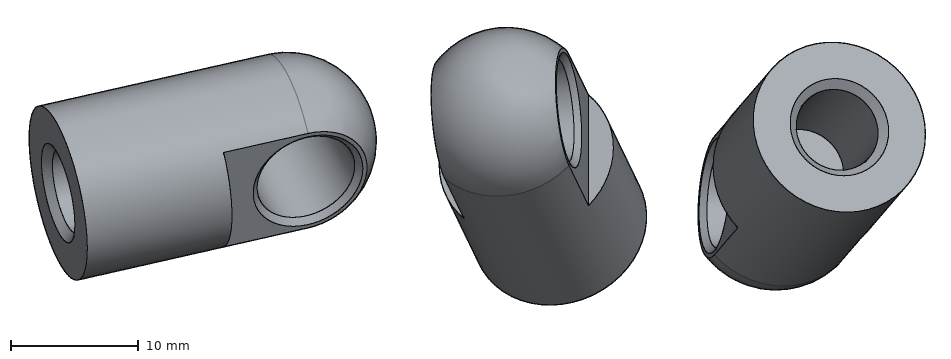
import cadquery as cq

body_diameter = 14.0
pivot_y = 19.0
tongue_thickness = 10.0
tongue_start_y = 12.0
bore_diameter = 6.65
bore_mouth_diameter = 8.0
bore_depth = 11.0
cross_hole_diameter = 8.1
cross_hole_chamfer = 0.5

body_radius = body_diameter / 2
total_length = pivot_y + body_radius
bore_radius = bore_diameter / 2
bore_mouth_radius = bore_mouth_diameter / 2
bore_chamfer = bore_mouth_radius - bore_radius
half_thickness = tongue_thickness / 2
cross_hole_radius = cross_hole_diameter / 2
cross_hole_mouth_radius = cross_hole_radius + cross_hole_chamfer


def revolve_about_y(profile):
    return profile.close().revolve(360, (0, 0, 0), (0, 1, 0))


def domed_body():
    """Cylinder along Y closed by a hemispherical end."""
    cylinder = cq.Workplane("XZ").circle(body_radius).extrude(-pivot_y)
    dome = cq.Workplane("XY").moveTo(0, pivot_y).lineTo(body_radius, pivot_y)
    dome = dome.radiusArc((0, total_length), -body_radius)
    return cylinder.union(revolve_about_y(dome), clean=False)


def side_cut(side):
    """Block removed beside the tongue; side is -1 or +1 along X."""
    width = body_radius - half_thickness
    length = total_length - tongue_start_y
    center_x = side * (half_thickness + width / 2)
    center_y = tongue_start_y + length / 2
    return cq.Workplane("XY").box(width, length, body_diameter).translate((center_x, center_y, 0))


def end_bore():
    """Blind flat-bottomed bore along Y with a 45 degree mouth chamfer."""
    return revolve_about_y(
        cq.Workplane("XY")
        .lineTo(bore_mouth_radius, 0)
        .lineTo(bore_radius, bore_chamfer)
        .lineTo(bore_radius, bore_depth)
        .lineTo(0, bore_depth)
    )


def cross_hole():
    """Through hole along X, chamfered at both flats."""
    chamfer_start = half_thickness - cross_hole_chamfer
    profile = (
        cq.Workplane("XY")
        .moveTo(-half_thickness, 0)
        .lineTo(-half_thickness, cross_hole_mouth_radius)
        .lineTo(-chamfer_start, cross_hole_radius)
        .lineTo(chamfer_start, cross_hole_radius)
        .lineTo(half_thickness, cross_hole_mouth_radius)
        .lineTo(half_thickness, 0)
        .close()
    )
    return profile.revolve(360, (0, 0, 0), (1, 0, 0)).translate((0, pivot_y, 0))


body = domed_body()
for side in (-1, 1):
    body = body.cut(side_cut(side), clean=False)
result = body.cut(end_bore(), clean=False).cut(cross_hole(), clean=False)